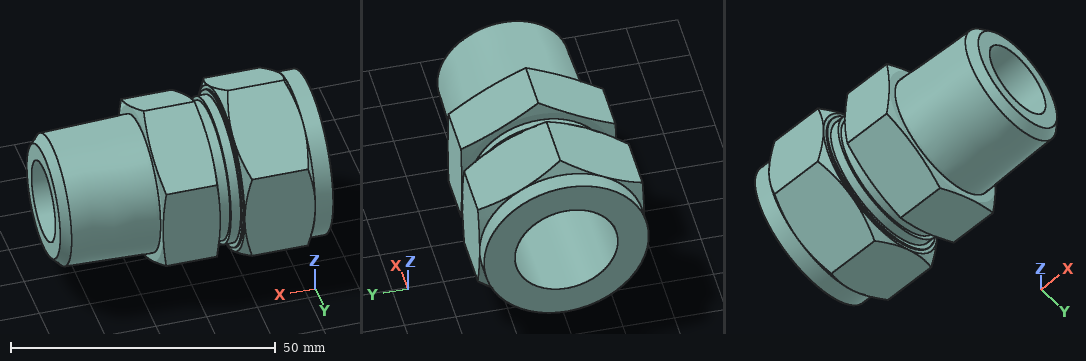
import cadquery as cq
import math

LENGTH = 52.3

NUT_ACROSS_FLATS = 32.0
COLLAR_END = 3.55
NUT_END = 17.4
NUT_CHAMFER_ANGLE = 30.0
WASHER_FACE_DIAMETER = 30.45
WASHER_FACE_END = 17.75

RING_DIAMETER = 28.55
RING_END = 19.6
NECK_DIAMETER = 27.0

BODY_ACROSS_FLATS = 30.0
BODY_START = 21.95
BODY_END = 33.2
BODY_CHAMFER_ANGLE = 15.0

THREAD_DIAMETER = 26.7
TAPER_START = 33.9
TAPER_RATIO = 1 / 16
TIP_CHAMFER = 1.7

TUBE_SOCKET_DIAMETER = 20.0
TUBE_SOCKET_DEPTH = 26.0
BORE_DIAMETER = 15.8


def cylinder(start, end, diameter):
    """Cylinder on the X axis between two X positions."""
    return cq.Workplane("YZ", origin=(start, 0, 0)).circle(diameter / 2).extrude(end - start)


def chamfered_hexagon(start, end, across_flats, chamfer_angle):
    """Hexagon with corners at +Z and -Z, its ends coned down to the circle inside the flats."""
    flat_radius = across_flats / 2
    corner_radius = flat_radius / math.cos(math.radians(30))
    setback = (corner_radius - flat_radius) * math.tan(math.radians(chamfer_angle))
    prism = (
        cq.Workplane("YZ", origin=(start, 0, 0))
        .transformed(rotate=(0, 0, 90))
        .polygon(6, 2 * corner_radius)
        .extrude(end - start)
    )
    envelope = (
        cq.Workplane("XZ")
        .moveTo(start, 0)
        .lineTo(start, flat_radius)
        .lineTo(start + setback, corner_radius)
        .lineTo(end - setback, corner_radius)
        .lineTo(end, flat_radius)
        .lineTo(end, 0)
        .close()
        .revolve(360, (0, 0, 0), (1, 0, 0))
    )
    return prism.intersect(envelope)


def thread_end():
    """Short cylinder, tapered shank and 45 degree tip chamfer."""
    root_radius = THREAD_DIAMETER / 2
    chamfer_start = LENGTH - TIP_CHAMFER
    shank_end_radius = root_radius - (chamfer_start - TAPER_START) * TAPER_RATIO / 2
    return (
        cq.Workplane("XZ")
        .moveTo(BODY_END, 0)
        .lineTo(BODY_END, root_radius)
        .lineTo(TAPER_START, root_radius)
        .lineTo(chamfer_start, shank_end_radius)
        .lineTo(LENGTH, shank_end_radius - TIP_CHAMFER)
        .lineTo(LENGTH, 0)
        .close()
        .revolve(360, (0, 0, 0), (1, 0, 0))
    )


collar = cylinder(0, COLLAR_END, NUT_ACROSS_FLATS)
nut = chamfered_hexagon(COLLAR_END, NUT_END, NUT_ACROSS_FLATS, NUT_CHAMFER_ANGLE)
washer_face = cylinder(NUT_END, WASHER_FACE_END, WASHER_FACE_DIAMETER)
ring = cylinder(WASHER_FACE_END, RING_END, RING_DIAMETER)
neck = cylinder(RING_END, BODY_START, NECK_DIAMETER)
body = chamfered_hexagon(BODY_START, BODY_END, BODY_ACROSS_FLATS, BODY_CHAMFER_ANGLE)

fitting = collar
for section in (nut, washer_face, ring, neck, body, thread_end()):
    fitting = fitting.union(section)

tube_socket = cylinder(0, TUBE_SOCKET_DEPTH, TUBE_SOCKET_DIAMETER)
bore = cylinder(0, LENGTH, BORE_DIAMETER)
result = fitting.cut(tube_socket).cut(bore)